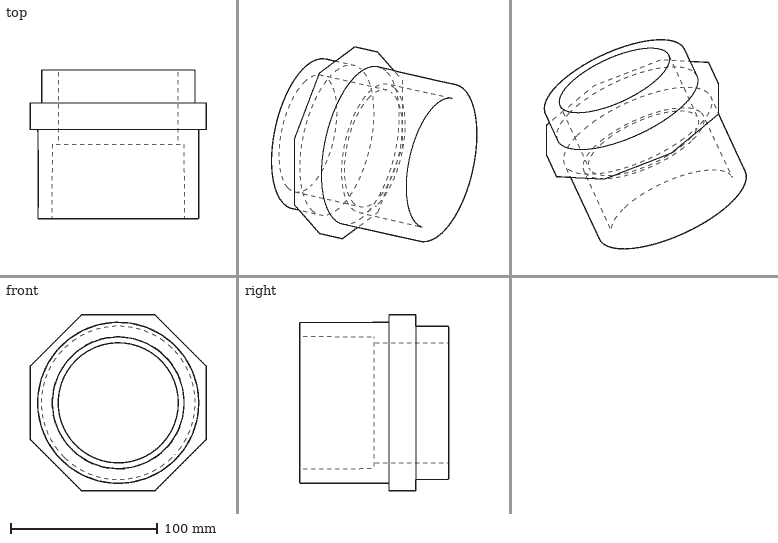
import cadquery as cq
import math

across_flats = 120.5
flange_sides = 8
total_length = 101.8
socket_length = 61.0
flange_length = 18.3

socket_mouth_diameter = 110.0
socket_root_diameter = 110.3
spigot_diameter = 105.0
bore_diameter = 82.0
socket_bore_mouth_diameter = 90.5
socket_bore_end_diameter = 90.0
socket_bore_depth = 50.9

flange_rounding = 0.5
rim_rounding = 0.6
spigot_end_rounding = 1.0

socket_end_y = -total_length / 2
flange_start_y = socket_end_y + socket_length
flange_end_y = flange_start_y + flange_length
spigot_end_y = total_length / 2


def revolve_profile(points):
    """Revolve a (radius, y) outline about the Y axis."""
    return cq.Workplane("XY").polyline(points).close().revolve(360, (0, 0, 0), (0, 1, 0))


def octagonal_flange():
    """Octagonal wrench flange with flats facing X and Z, all edges rounded."""
    across_corners = across_flats / math.cos(math.pi / flange_sides)
    prism = (
        cq.Workplane("XZ", origin=(0, flange_end_y, 0))
        .polygon(flange_sides, across_corners)
        .extrude(flange_length)
        .rotate((0, 0, 0), (0, 1, 0), 180 / flange_sides)
    )
    return prism.edges().fillet(flange_rounding)


def socket_body():
    """Slightly conical outer wall of the socket, with a rounded mouth rim."""
    mouth_radius = socket_mouth_diameter / 2
    root_radius = socket_root_diameter / 2
    overlap_y = flange_start_y + flange_length / 2
    body = revolve_profile([
        (0, socket_end_y),
        (mouth_radius, socket_end_y),
        (root_radius, flange_start_y),
        (root_radius, overlap_y),
        (0, overlap_y),
    ])
    return body.faces("<Y").edges().fillet(rim_rounding)


def spigot_body():
    """Plain cylindrical spigot with a rounded end."""
    overlap_y = flange_end_y - flange_length / 2
    body = (
        cq.Workplane("XZ", origin=(0, spigot_end_y, 0))
        .circle(spigot_diameter / 2)
        .extrude(spigot_end_y - overlap_y)
    )
    return body.faces(">Y").edges().fillet(spigot_end_rounding)


def stepped_bore():
    """Conical socket bore ending at a flat shoulder, then a through bore."""
    bore_radius = bore_diameter / 2
    shoulder_y = socket_end_y + socket_bore_depth
    return revolve_profile([
        (0, socket_end_y),
        (socket_bore_mouth_diameter / 2, socket_end_y),
        (socket_bore_end_diameter / 2, shoulder_y),
        (bore_radius, shoulder_y),
        (bore_radius, spigot_end_y),
        (0, spigot_end_y),
    ])


outer_body = socket_body().union(octagonal_flange()).union(spigot_body())
hollow_body = outer_body.cut(stepped_bore())

inner_rim = hollow_body.faces("<Y").edges(cq.selectors.RadiusNthSelector(0))
result = inner_rim.fillet(rim_rounding)